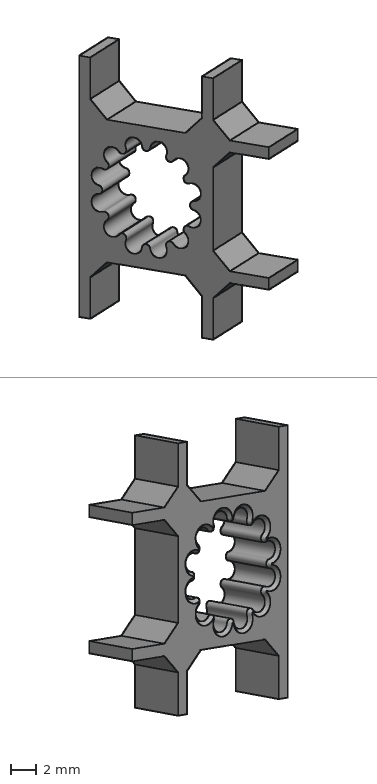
import cadquery as cq
import math

height = 22.0
wall = height / 22
block = 12 * wall
arm_reach = 5 * wall
depth = arm_reach
gusset = 1.5 * wall

lobe_count = 12
pitch_radius = 4.3
lobe_radius = 0.75
rim_chamfer = 0.3

half_block = block / 2
half_height = height / 2
half_wall_inner = half_block - wall
gusset_end = half_block + gusset
gusset_start = half_wall_inner - gusset


def polar(radius, angle_deg):
    """Point in the XZ plane at a radius and angle about the opening."""
    angle = math.radians(angle_deg)
    return (radius * math.cos(angle), radius * math.sin(angle))


def make_frame():
    """Upper half of the H-shaped section, mirrored about the mid height."""
    upper_half = [
        (-half_block, 0),
        (-half_block, half_height),
        (-half_wall_inner, half_height),
        (-half_wall_inner, gusset_end),
        (-gusset_start, half_block),
        (gusset_start, half_block),
        (half_wall_inner, gusset_end),
        (half_wall_inner, half_height),
        (half_block, half_height),
        (half_block, gusset_end),
        (gusset_end, half_block),
        (half_block + arm_reach, half_block),
        (half_block + arm_reach, half_wall_inner),
        (gusset_end, half_wall_inner),
        (half_block, gusset_start),
        (half_block, 0),
    ]
    section = cq.Workplane("XZ").polyline(upper_half).mirrorX()
    return section.extrude(depth / 2, both=True)


def make_opening():
    """Ring of round lobes joined by tangent round teeth."""
    half_pitch = 180 / lobe_count
    centre_gap = 2 * pitch_radius * math.sin(math.radians(half_pitch / 2))
    tooth_radius = centre_gap - lobe_radius

    lobe_x = pitch_radius
    tooth_x, tooth_z = polar(pitch_radius, half_pitch)
    share = lobe_radius / centre_gap
    touch_x = lobe_x + share * (tooth_x - lobe_x)
    touch_z = share * tooth_z
    touch_radius = math.hypot(touch_x, touch_z)
    touch_angle = math.degrees(math.atan2(touch_z, touch_x))

    first_lobe_angle = half_pitch
    outline = cq.Workplane("XZ").moveTo(*polar(touch_radius, first_lobe_angle - touch_angle))
    for index in range(lobe_count):
        lobe_angle = first_lobe_angle + 2 * half_pitch * index
        tooth_angle = lobe_angle + half_pitch
        next_lobe_angle = tooth_angle + half_pitch
        outline = outline.threePointArc(
            polar(pitch_radius + lobe_radius, lobe_angle),
            polar(touch_radius, lobe_angle + touch_angle),
        )
        outline = outline.threePointArc(
            polar(pitch_radius - tooth_radius, tooth_angle),
            polar(touch_radius, next_lobe_angle - touch_angle),
        )
    return outline.close().extrude(depth, both=True)


def bevel_opening(body):
    """Chamfer every rim edge of the opening on the +Y face."""
    back_face_y = depth / 2
    outer_reach = pitch_radius + lobe_radius
    margin = 0.02
    rim = cq.selectors.BoxSelector(
        (-outer_reach, back_face_y - margin, -outer_reach),
        (outer_reach, back_face_y + margin, outer_reach),
    )
    return body.edges(rim).chamfer(rim_chamfer)


result = bevel_opening(make_frame().cut(make_opening()))